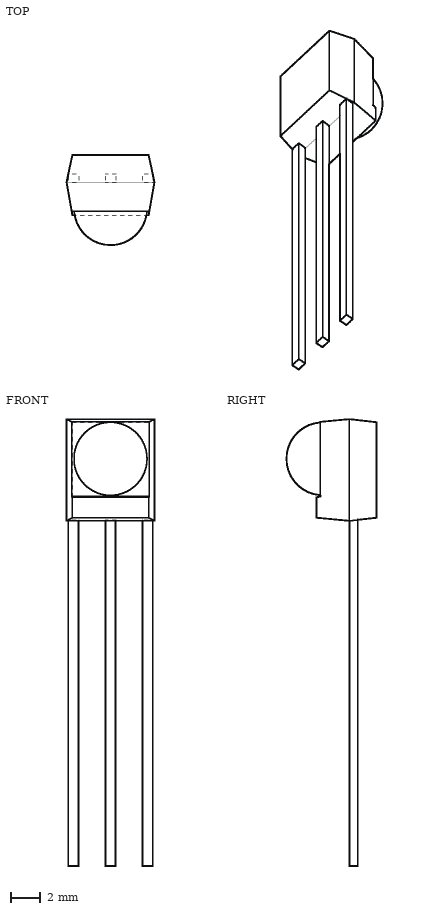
import cadquery as cq

total_height = 30.5
body_width = 6.0
body_height = 6.95
body_bottom = total_height - body_height

back_depth = 1.85
front_depth = 2.25
side_inset = 0.4
end_inset = 0.2
face_width = body_width - 2 * side_inset
face_height = body_height - 2 * end_inset

recess_depth = 0.27
sill_front_z = total_height - 5.35
sill_back_z = total_height - 5.28

lens_radius = 2.5
lens_tip = 4.3
lens_center_z = total_height - 2.7

lead_pitch = 2.53
lead_width = 0.7
lead_thickness = 0.58
lead_embed = 0.12


def tapered_half(depth, direction):
    """Half of the body, from the parting plane out to depth along direction * Y."""
    plane = cq.Plane(
        origin=(0, 0, body_bottom + body_height / 2),
        xDir=(1, 0, 0),
        normal=(0, direction, 0),
    )
    return (
        cq.Workplane(plane)
        .rect(body_width, body_height)
        .workplane(offset=depth)
        .rect(face_width, face_height)
        .loft(ruled=True)
    )


def face_recess():
    """Cutter that sets back the front face above the sill."""
    face_y = recess_depth - front_depth
    return (
        cq.Workplane("YZ")
        .moveTo(face_y, sill_back_z)
        .lineTo(-front_depth, sill_front_z)
        .lineTo(-front_depth, total_height)
        .lineTo(face_y, total_height)
        .close()
        .extrude(body_width / 2, both=True)
    )


def lens():
    """Dome-ended lens, a hemisphere turned about the Y axis with its flat inside the body."""
    return (
        cq.Workplane("XY")
        .moveTo(0, lens_radius - lens_tip)
        .lineTo(lens_radius, lens_radius - lens_tip)
        .radiusArc((0, -lens_tip), lens_radius)
        .close()
        .revolve(360, (0, 0, 0), (0, 1, 0))
        .translate((0, 0, lens_center_z))
    )


def lead(x):
    """Straight rectangular lead whose front side lies on the parting plane."""
    return (
        cq.Workplane("XY")
        .center(x, lead_thickness / 2)
        .rect(lead_width, lead_thickness)
        .extrude(body_bottom + lead_embed)
    )


result = tapered_half(back_depth, 1).union(tapered_half(front_depth, -1))
result = result.cut(face_recess()).union(lens())
for position in (-1, 0, 1):
    result = result.union(lead(position * lead_pitch))